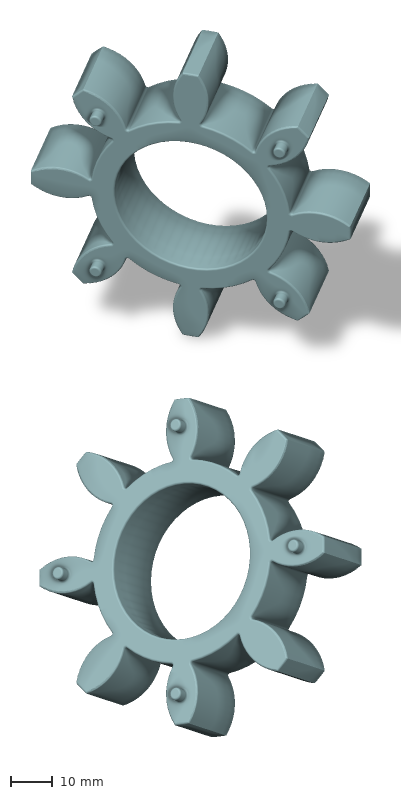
import cadquery as cq
import math

TOOTH_COUNT = 8
TIP_RADIUS = 40.0
RING_RADIUS = 24.95
BORE_RADIUS = 19.0
OVERALL_LENGTH = 24.0
THICKNESS = 18.0
RIM_FILLET = 0.5

BULGE_RADIUS = 32.2
BULGE_HALF_WIDTH = 4.5
TIP_HALF_WIDTH = 2.0
ROOT_FILLET = 0.5

PIN_RADIUS = 1.5
PIN_HEIGHT = (OVERALL_LENGTH - THICKNESS) / 2
PIN_FILLET = 0.5
FRONT_PIN_CIRCLE = 32.5
BACK_PIN_CIRCLE = 32.95

TOOTH_PITCH = 360.0 / TOOTH_COUNT
PIN_PITCH = 2 * TOOTH_PITCH
HALF_THICKNESS = THICKNESS / 2
Y_AXIS = (0, 1, 0)


def turned(shape, angle):
    """Turn a shape about the part axis."""
    return shape.rotate((0, 0, 0), Y_AXIS, angle)


def extruded(outline):
    """Extrude an outline in the XZ plane to the body thickness, centred on Y = 0."""
    return outline.extrude(HALF_THICKNESS, both=True)


def make_tooth():
    """One tooth along +X: two equal bulging sides, a tip arc about the part axis, root buried in the ring."""
    tip_corner = math.sqrt(TIP_RADIUS**2 - TIP_HALF_WIDTH**2)
    tip_distance = tip_corner - BULGE_RADIUS
    root_radius = BULGE_RADIUS - tip_distance
    outline = (
        cq.Workplane("XZ")
        .moveTo(root_radius, -TIP_HALF_WIDTH)
        .threePointArc((BULGE_RADIUS, -BULGE_HALF_WIDTH), (tip_corner, -TIP_HALF_WIDTH))
        .threePointArc((TIP_RADIUS, 0), (tip_corner, TIP_HALF_WIDTH))
        .threePointArc((BULGE_RADIUS, BULGE_HALF_WIDTH), (root_radius, TIP_HALF_WIDTH))
        .close()
    )
    return extruded(outline)


def make_body():
    """Ring and teeth, with rounded tooth roots and rims."""
    body = extruded(cq.Workplane("XZ").circle(RING_RADIUS))
    tooth = make_tooth()
    for i in range(TOOTH_COUNT):
        body = body.union(turned(tooth, i * TOOTH_PITCH))

    root_edges = body.edges("|Y").filter(
        lambda edge: math.hypot(edge.Center().x, edge.Center().z) < BULGE_RADIUS
    )
    body = root_edges.fillet(ROOT_FILLET)
    body = body.cut(extruded(cq.Workplane("XZ").circle(BORE_RADIUS)))
    return body.faces("<Y or >Y").edges().fillet(RIM_FILLET)


def make_pin(pin_circle, side):
    """One pin on +X, standing on the face at the given side (-1 or +1) of Y."""
    foot_y = side * HALF_THICKNESS
    end_y = side * (HALF_THICKNESS + PIN_HEIGHT)
    foot_radius = PIN_RADIUS + PIN_FILLET
    end_radius = PIN_RADIUS - PIN_FILLET
    diagonal = PIN_FILLET * math.sqrt(0.5)
    fillet_y = foot_y + side * PIN_FILLET
    round_y = end_y - side * PIN_FILLET
    half_section = (
        cq.Workplane("XY")
        .moveTo(0, 0)
        .lineTo(PIN_RADIUS, 0)
        .lineTo(PIN_RADIUS, foot_y)
        .lineTo(foot_radius, foot_y)
        .threePointArc((foot_radius - diagonal, fillet_y - side * diagonal), (PIN_RADIUS, fillet_y))
        .lineTo(PIN_RADIUS, round_y)
        .threePointArc((end_radius + diagonal, round_y + side * diagonal), (end_radius, end_y))
        .lineTo(0, end_y)
        .close()
    )
    pin = half_section.revolve(360, (0, 0, 0), Y_AXIS)
    return pin.translate((pin_circle, 0, 0))


def add_pins(body, pin_circle, side, first_angle):
    """Add one pin to every second tooth on one face."""
    pin = make_pin(pin_circle, side)
    for i in range(TOOTH_COUNT // 2):
        body = body.union(turned(pin, first_angle + i * PIN_PITCH))
    return body


result = make_body()
result = add_pins(result, FRONT_PIN_CIRCLE, side=-1, first_angle=TOOTH_PITCH)
result = add_pins(result, BACK_PIN_CIRCLE, side=1, first_angle=0)